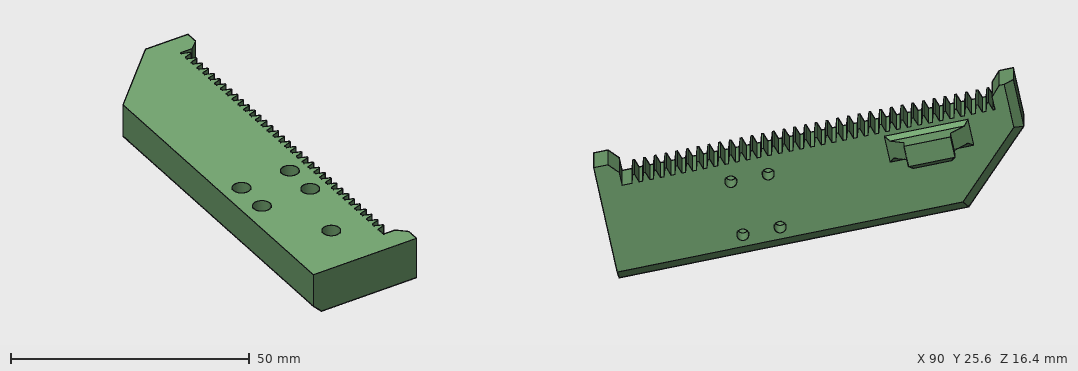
import cadquery as cq

plate_length = 90.0
plate_width = 25.6
plate_thickness = 10.0
overall_height = 16.4
corner_cut = 15.0
bottom_chamfer = 2.0

post_width = 5.0
post_chamfer_length = 2.0
post_chamfer_depth = 2.2
recess_depth = 5.0
tooth_count = 34
rack_length = 78.2
tooth_pitch = rack_length / tooth_count
tooth_height = 1.8
tooth_root_width = 1.5
tooth_tip_width = 0.4

screw_grid_center = (58.5, 10.5)
screw_spacing_x = 8.0
screw_spacing_y = 12.0
screw_diameter = 2.5
bore_diameter = 4.0
bore_depth = plate_thickness / 2
pin_hole_center = (78.0, 12.0)

hook_center_x = 20.0
hook_width = 10.0
hook_drop = overall_height - plate_thickness
stem_front_y = 14.8
stem_back_y = 18.6
side_flare = 4.0
root_flare = 1.0
head_height = 2.0
head_overhang = 0.7
nose_length = 0.9


def make_plate():
    """Plate with a cut corner, chamfered underneath on its left, cut and front faces."""
    outline = [
        (corner_cut, 0),
        (plate_length, 0),
        (plate_length, plate_width),
        (0, plate_width),
        (0, corner_cut),
    ]
    blank = cq.Workplane("XY").polyline(outline).close().extrude(plate_thickness)
    chamfered_edges = (
        blank.faces("<Z").edges("<Y")
        .add(blank.faces("<Z").edges("<X"))
        .add(blank.faces("<Z").edges("<(1, 1, 0)"))
    )
    return chamfered_edges.chamfer(bottom_chamfer)


def make_recess():
    """Space removed between the end posts, widening at the back edge."""
    left = post_width
    right = plate_length - post_width
    root_y = plate_width - recess_depth
    shoulder_y = plate_width - post_chamfer_depth
    return (
        cq.Workplane("XY")
        .moveTo(left, root_y)
        .lineTo(right, root_y)
        .lineTo(right, shoulder_y)
        .lineTo(right + post_chamfer_length, plate_width)
        .lineTo(left - post_chamfer_length, plate_width)
        .lineTo(left, shoulder_y)
        .close()
        .extrude(plate_thickness)
    )


def make_tooth(center_x):
    """One straight-sided rack tooth, through the full plate thickness."""
    root_y = plate_width - recess_depth
    tip_y = root_y + tooth_height
    return (
        cq.Workplane("XY")
        .moveTo(center_x - tooth_root_width / 2, root_y)
        .lineTo(center_x + tooth_root_width / 2, root_y)
        .lineTo(center_x + tooth_tip_width / 2, tip_y)
        .lineTo(center_x - tooth_tip_width / 2, tip_y)
        .close()
        .extrude(plate_thickness)
    )


def make_stem():
    """Stem flared at 45 degrees to both sides, with a short flare at its front and back."""
    half_width = hook_width / 2
    front_shape = [
        (hook_center_x - half_width - side_flare, 0),
        (hook_center_x + half_width + side_flare, 0),
        (hook_center_x + half_width, -side_flare),
        (hook_center_x + half_width, -hook_drop),
        (hook_center_x - half_width, -hook_drop),
        (hook_center_x - half_width, -side_flare),
    ]
    side_shape = [
        (stem_front_y - root_flare, 0),
        (stem_back_y + root_flare, 0),
        (stem_back_y, -root_flare),
        (stem_back_y, -hook_drop),
        (stem_front_y, -hook_drop),
        (stem_front_y, -root_flare),
    ]
    front_prism = cq.Workplane("XZ").polyline(front_shape).close().extrude(-plate_width)
    side_prism = cq.Workplane("YZ").polyline(side_shape).close().extrude(plate_length)
    return front_prism.intersect(side_prism)


def make_head():
    """Bar across the stem end whose front rises to a ridge with sloping ends."""
    left = hook_center_x - hook_width / 2
    right = hook_center_x + hook_width / 2
    base_y = stem_front_y - head_overhang
    tip_y = base_y - nose_length
    side_shape = [
        (stem_back_y, -hook_drop),
        (base_y, -hook_drop),
        (tip_y, head_height / 2 - hook_drop),
        (base_y, head_height - hook_drop),
        (stem_back_y, head_height - hook_drop),
    ]
    top_shape = [
        (left, stem_back_y),
        (left, base_y),
        (left + nose_length, tip_y),
        (right - nose_length, tip_y),
        (right, base_y),
        (right, stem_back_y),
    ]
    side_prism = cq.Workplane("YZ").polyline(side_shape).close().extrude(plate_length)
    top_prism = cq.Workplane("XY").polyline(top_shape).close().extrude(-hook_drop)
    return side_prism.intersect(top_prism)


result = make_plate().cut(make_recess())
for index in range(tooth_count):
    result = result.union(make_tooth(post_width + (index + 0.5) * tooth_pitch))
result = result.union(make_stem()).union(make_head())

result = (
    result.faces(">Z").workplane(origin=(*screw_grid_center, plate_thickness))
    .rarray(screw_spacing_x, screw_spacing_y, 2, 2)
    .cboreHole(screw_diameter, bore_diameter, bore_depth)
)
result = (
    result.faces(">Z").workplane(origin=(*pin_hole_center, plate_thickness))
    .hole(bore_diameter, bore_depth)
)